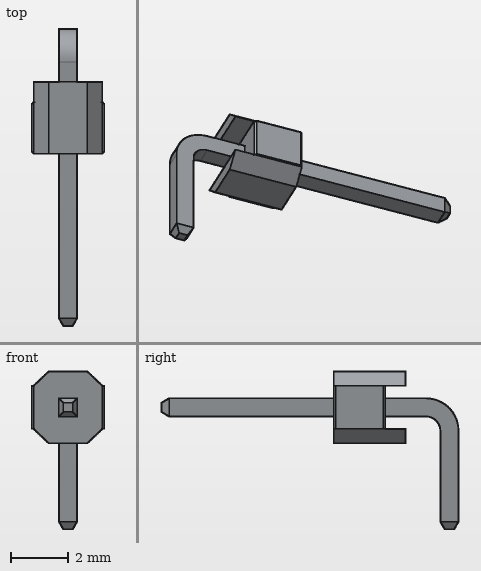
import cadquery as cq

HOUSING_LENGTH = 2.5
HOUSING_HEIGHT = 2.5
HOUSING_WIDTH = 2.4
TOP_FLAT_WIDTH = 1.35
SIDE_FLAT_HEIGHT = 1.5

SLOT_DEPTH = 0.7
WIDTH_OVER_PADS = 2.54
PAD_BEVEL_LENGTH = 0.08

PIN_SIZE = 0.64
FRONT_REACH = 6.0
REAR_REACH = 1.85
LEG_DROP = 3.0
INNER_BEND_RADIUS = 0.5
TIP_SIZE = PIN_SIZE / 2
TIP_LENGTH = 0.27

HOUSING_FRONT = -HOUSING_LENGTH / 2
HOUSING_REAR = HOUSING_LENGTH / 2
SLOT_FLOOR = HOUSING_REAR - SLOT_DEPTH
BEND_RADIUS = INNER_BEND_RADIUS + PIN_SIZE / 2
PIN_FRONT = HOUSING_FRONT - FRONT_REACH
LEG_CENTER = HOUSING_REAR + REAR_REACH - PIN_SIZE / 2
LEG_BOTTOM = -HOUSING_HEIGHT / 2 - LEG_DROP


def make_octagon_block():
    """Octagonal prism running along Y."""
    half_width = HOUSING_WIDTH / 2
    half_height = HOUSING_HEIGHT / 2
    half_top = TOP_FLAT_WIDTH / 2
    half_side = SIDE_FLAT_HEIGHT / 2
    outline = [
        (half_top, half_height),
        (half_width, half_side),
        (half_width, -half_side),
        (half_top, -half_height),
        (-half_top, -half_height),
        (-half_width, -half_side),
        (-half_width, half_side),
        (-half_top, half_height),
    ]
    return (
        cq.Workplane("XZ")
        .polyline(outline)
        .close()
        .extrude(HOUSING_LENGTH / 2, both=True)
    )


def make_padded_core():
    """Middle layer ahead of the slot, spanning both side pads with bevelled ends."""
    half_width = HOUSING_WIDTH / 2
    half_padded = WIDTH_OVER_PADS / 2
    pad_front = HOUSING_FRONT + PAD_BEVEL_LENGTH
    pad_rear = SLOT_FLOOR - PAD_BEVEL_LENGTH
    outline = [
        (half_width, HOUSING_FRONT),
        (half_padded, pad_front),
        (half_padded, pad_rear),
        (half_width, SLOT_FLOOR),
        (-half_width, SLOT_FLOOR),
        (-half_padded, pad_rear),
        (-half_padded, pad_front),
        (-half_width, HOUSING_FRONT),
    ]
    return (
        cq.Workplane("XY")
        .polyline(outline)
        .close()
        .extrude(SIDE_FLAT_HEIGHT / 2, both=True)
    )


def make_rear_slot():
    """Cutter for the slot that is open to the rear and to both sides."""
    slot_center = HOUSING_REAR - SLOT_DEPTH / 2
    slot = cq.Workplane("XY").box(HOUSING_WIDTH, SLOT_DEPTH, SIDE_FLAT_HEIGHT)
    return slot.translate((0, slot_center, 0))


def make_pin_hole():
    """Cutter for the square hole that holds the pin."""
    return cq.Workplane("XY").box(PIN_SIZE, HOUSING_LENGTH, PIN_SIZE)


def make_housing():
    block = make_octagon_block().cut(make_rear_slot())
    return block.union(make_padded_core()).cut(make_pin_hole())


def make_tip(base_center, direction):
    """Square pyramid frustum that narrows from the wire to the blunt end."""
    base = cq.Plane(origin=base_center, xDir=(1, 0, 0), normal=direction)
    return (
        cq.Workplane(base)
        .rect(PIN_SIZE, PIN_SIZE)
        .workplane(offset=TIP_LENGTH)
        .rect(TIP_SIZE, TIP_SIZE)
        .loft(ruled=True)
    )


def make_wire():
    """Bent square wire without its tips, drawn as a side profile in the YZ plane."""
    half = PIN_SIZE / 2
    front = PIN_FRONT + TIP_LENGTH
    bottom = LEG_BOTTOM + TIP_LENGTH
    bend_start = LEG_CENTER - BEND_RADIUS
    bend_end = -BEND_RADIUS
    outer_radius = BEND_RADIUS + half
    return (
        cq.Workplane("YZ")
        .moveTo(front, -half)
        .lineTo(front, half)
        .lineTo(bend_start, half)
        .radiusArc((LEG_CENTER + half, bend_end), outer_radius)
        .lineTo(LEG_CENTER + half, bottom)
        .lineTo(LEG_CENTER - half, bottom)
        .lineTo(LEG_CENTER - half, bend_end)
        .radiusArc((bend_start, -half), -INNER_BEND_RADIUS)
        .close()
        .extrude(half, both=True)
    )


def make_pin():
    front_tip = make_tip((0, PIN_FRONT + TIP_LENGTH, 0), (0, -1, 0))
    leg_tip = make_tip((0, LEG_CENTER, LEG_BOTTOM + TIP_LENGTH), (0, 0, -1))
    return make_wire().union(front_tip).union(leg_tip)


housing = make_housing()
pin = make_pin()

result = cq.Compound.makeCompound([housing.solids().val(), pin.solids().val()])